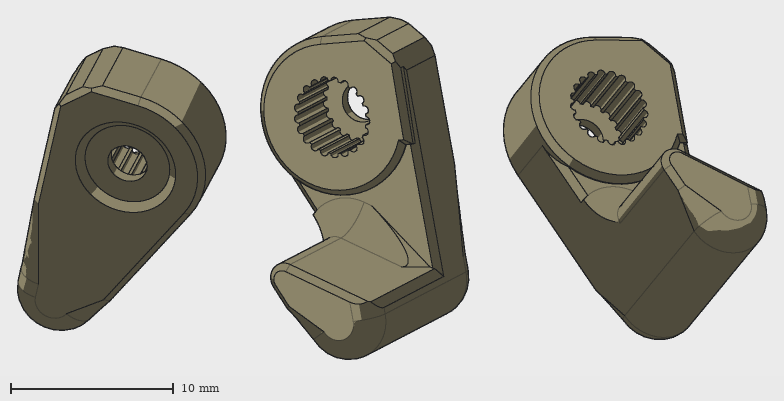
import cadquery as cq
import math


plate_back = 5.06
pad_back = 5.54
arm_back = 15.0
core_depth = plate_back / 2

head_radius = 5.0
toe_radius = 2.6
toe_x = -4.66
toe_z = -10.45

hole_diameter = 2.5
recess_outer_radius = 3.2
recess_floor_radius = 2.7
recess_depth = 0.45

socket_floor = 1.25
socket_radius = 2.3
groove_count = 21
groove_radius = 0.25

pad_left_angle = 170.0
plate_left_angle = 168.9
top_angle = 80.0
corner_angle = (pad_left_angle + top_angle) / 2
corner_distance = 5.79
corner_blunting = 0.7
toe_distance = math.hypot(toe_x, toe_z)
right_angle = math.degrees(
    math.atan2(toe_z, toe_x) + math.acos((head_radius - toe_radius) / toe_distance)
)

pad_step_height = -2.16

arm_slope_angle = 19.0
shoulder_radius = 1.0
shoulder_top_z = -7.12

edge_chamfer = 0.4
plate_back_chamfer = 0.43
toe_fillet = 1.5
left_fillet_length = 1.0
left_taper_length = 5.6
right_taper_length = 2.5
arm_left_fillet_length = 3.0

web_radius = 2.0
web_foot_x = -5.4
web_root_x = -6.4
web_peak_x = -4.6
web_peak_z = -7.34

margin = 0.5
clearance = 30.0


def direction(angle):
    return math.cos(math.radians(angle)), math.sin(math.radians(angle))


def meet(line_a, line_b):
    """Crossing point of two lines, each given as (normal angle, distance)."""
    ax, az = direction(line_a[0])
    bx, bz = direction(line_b[0])
    distance_a = line_a[1]
    distance_b = line_b[1]
    det = ax * bz - az * bx
    x = (distance_a * bz - az * distance_b) / det
    z = (ax * distance_b - distance_a * bx) / det
    return x, z


def polar(center, radius, angle):
    ux, uz = direction(angle)
    return center[0] + radius * ux, center[1] + radius * uz


def toward(start, end, distance):
    length = math.dist(start, end)
    return tuple(a + (b - a) * distance / length for a, b in zip(start, end))


def support(point, angle):
    """Line with the given normal angle through a point."""
    ux, uz = direction(angle)
    return angle, point[0] * ux + point[1] * uz


hole = (0.0, 0.0)
toe = (toe_x, toe_z)
toe_left = polar(toe, toe_radius, plate_left_angle)
toe_bottom = polar(toe, toe_radius, 270)
toe_right = polar(toe, toe_radius, right_angle)
head_right = polar(hole, head_radius, right_angle)
head_top = polar(hole, head_radius, top_angle)
head_side = polar(hole, head_radius, (top_angle + right_angle) / 2)

plate_left = support(toe_left, plate_left_angle)
pad_left = (pad_left_angle, head_radius)
top_side = (top_angle, head_radius)
corner_side = (corner_angle, corner_distance)

shoulder_normal = 90 + arm_slope_angle
shoulder_z = shoulder_top_z - shoulder_radius
shoulder_x = meet((right_angle, head_radius - shoulder_radius), (90, shoulder_z))[0]
shoulder = (shoulder_x, shoulder_z)
shoulder_start = polar(shoulder, shoulder_radius, shoulder_normal)
shoulder_end = polar(shoulder, shoulder_radius, right_angle)
arm_top = support(shoulder_start, shoulder_normal)


def prism(outline, start, end):
    return outline(cq.Workplane("XZ", origin=(0, start, 0))).close().extrude(start - end)


def corner_points(left_side, lower_left, blunt):
    """Points of the cut upper left corner, from the left side to the top side."""
    low = meet(left_side, corner_side)
    high = meet(corner_side, top_side)
    if not blunt:
        return [low, high]
    return [
        toward(low, lower_left, corner_blunting),
        toward(low, high, corner_blunting),
        toward(high, low, corner_blunting),
        toward(high, head_top, corner_blunting),
    ]


def plate_outline(blunt):
    def draw(sketch):
        sketch = sketch.moveTo(*toe_left)
        for point in corner_points(plate_left, toe_left, blunt):
            sketch = sketch.lineTo(*point)
        sketch = sketch.lineTo(*head_top).threePointArc(head_side, head_right)
        return sketch.lineTo(*toe_right).threePointArc(toe_bottom, toe_left)

    return draw


def pad_outline(sketch):
    step_line = (top_angle, pad_step_height)
    step_corner = meet(pad_left, step_line)
    step_depth = math.sqrt(head_radius**2 - pad_step_height**2)
    step_end = meet((pad_left_angle, step_depth), step_line)
    pad_bottom = polar(hole, head_radius, 270)

    sketch = sketch.moveTo(*step_end).lineTo(*step_corner)
    for point in corner_points(pad_left, step_corner, False):
        sketch = sketch.lineTo(*point)
    sketch = sketch.lineTo(*head_top).threePointArc(head_side, head_right)
    return sketch.threePointArc(pad_bottom, step_end)


def arm_outline(sketch):
    corner = meet(plate_left, arm_top)
    sketch = sketch.moveTo(*toe_left)
    sketch = sketch.lineTo(*toward(corner, toe_left, edge_chamfer))
    sketch = sketch.lineTo(*toward(corner, shoulder_start, edge_chamfer))
    sketch = sketch.lineTo(*shoulder_start)
    shoulder_side = polar(shoulder, shoulder_radius, (shoulder_normal + right_angle) / 2)
    sketch = sketch.threePointArc(shoulder_side, shoulder_end)
    return sketch.lineTo(*toe_right).threePointArc(toe_bottom, toe_left)


def make_plate():
    plate = prism(plate_outline(False), 0, plate_back)
    plate = plate.faces("<Y").chamfer(edge_chamfer).faces(">Y").chamfer(plate_back_chamfer)
    return plate.intersect(prism(plate_outline(True), 0, plate_back))


def make_pad():
    pad = prism(pad_outline, core_depth, pad_back).faces(">Y").chamfer(edge_chamfer)
    return pad.intersect(prism(plate_outline(True), core_depth, pad_back))


def make_arm():
    return prism(arm_outline, core_depth, arm_back).faces(">Y").chamfer(edge_chamfer)


def web_section():
    """Concave corner between arm top and plate, set where the arm top meets the shoulder.

    Local x runs along +Y from the plate, local y away from the arm, local z up the slope.
    """
    overlap = shoulder_radius / 2
    mid = web_radius * (1 - math.sqrt(0.5))
    slope_x, slope_z = direction(arm_slope_angle)
    origin = (shoulder_start[0], plate_back, shoulder_start[1])
    return (
        cq.Workplane(cq.Plane(origin, xDir=(0, 1, 0), normal=(slope_x, 0, slope_z)))
        .moveTo(-overlap, -overlap)
        .lineTo(web_radius, -overlap)
        .lineTo(web_radius, 0)
        .threePointArc((mid, mid), (0, web_radius))
        .lineTo(-overlap, web_radius)
        .close()
    )


def make_web():
    turn = shoulder_normal - right_angle
    arm_top_length = math.dist(shoulder_start, meet(plate_left, arm_top))
    straight = web_section().extrude(-arm_top_length)
    around = web_section().revolve(turn, (0, -shoulder_radius), (1, -shoulder_radius))
    web = straight.union(around).intersect(prism(plate_outline(False), core_depth, arm_back))

    def on_arm_top(x, y):
        return cq.Vector(x, y, meet(arm_top, (0, x))[1])

    root = on_arm_top(web_root_x, plate_back)
    to_foot = on_arm_top(web_foot_x, plate_back + web_radius) - root
    to_peak = cq.Vector(web_peak_x, plate_back, web_peak_z) - root
    end_plane = cq.Plane(root, xDir=to_foot, normal=to_peak.cross(to_foot))
    beyond_end = cq.Workplane(end_plane).rect(clearance, clearance).extrude(clearance)
    return web.cut(beyond_end)


def edge_section(point, angle, face_y, inward, size, rounded):
    """Cross-section of the tool that trims an edge of the outline.

    Local x runs outward along the outline normal, local y along Y into the part.
    """
    ux, uz = direction(angle)
    origin = (point[0], face_y, point[1])
    plane = cq.Plane(origin, xDir=(ux, 0, uz), normal=(-uz * inward, 0, ux * inward))
    section = cq.Workplane(plane).moveTo(margin, -margin).lineTo(-size, -margin).lineTo(-size, 0)
    if rounded:
        mid = size * (1 - math.sqrt(0.5))
        section = section.threePointArc((-mid, mid), (0, size))
    else:
        section = section.lineTo(0, size)
    return section.lineTo(margin, size).close()


def edge_loft(start, end, angle, face_y, inward, end_size, end_rounded):
    """Cutter that starts as the toe fillet and changes evenly to the end section."""
    first = edge_section(start, angle, face_y, inward, toe_fillet, True)
    last = edge_section(end, angle, face_y, inward, end_size, end_rounded)
    wires = [section.wires().val() for section in (first, last)]
    return cq.Workplane(cq.Solid.makeLoft(wires, True))


def round_toe(body, face_y, inward, left_length):
    """Fillet the toe on one end face; inward is +1 or -1 along Y."""
    left_end = toward(toe_left, meet(plate_left, corner_side), left_length)
    right_end = toward(toe_right, head_right, right_taper_length)
    turn = 360 + right_angle - plate_left_angle
    section = edge_section(toe_left, plate_left_angle, face_y, inward, toe_fillet, True)
    around = section.revolve(turn, (-toe_radius, 0), (-toe_radius, -inward))
    left = edge_loft(toe_left, left_end, plate_left_angle, face_y, inward, toe_fillet, True)
    right = edge_loft(toe_right, right_end, right_angle, face_y, inward, edge_chamfer, False)
    return body.cut(around).cut(left).cut(right)


def taper_front_left(body):
    """Blend the toe fillet into the chamfer along the front left edge."""
    upper_corner = meet(plate_left, corner_side)
    start = toward(toe_left, upper_corner, left_fillet_length)
    end = toward(toe_left, upper_corner, left_fillet_length + left_taper_length)
    return body.cut(edge_loft(start, end, plate_left_angle, 0, 1, edge_chamfer, False))


def cut_hole(body):
    hole_cutter = cq.Workplane("XZ").circle(hole_diameter / 2).extrude(-pad_back)
    recess = (
        cq.Workplane("XZ")
        .circle(recess_outer_radius)
        .workplane(offset=-recess_depth)
        .circle(recess_floor_radius)
        .loft(ruled=True)
    )
    return body.cut(hole_cutter).cut(recess)


def cut_socket(body):
    """Round socket with evenly spaced round grooves along its wall."""
    floor = cq.Workplane("XZ", origin=(0, socket_floor, 0))
    depth = pad_back - socket_floor
    half_pitch = 180 / groove_count
    socket = floor.circle(socket_radius).extrude(-depth)
    grooves = floor.polarArray(socket_radius, half_pitch, 360, groove_count)
    grooves = grooves.circle(groove_radius).extrude(-depth)
    return body.cut(socket).cut(grooves)


result = make_plate().union(make_pad()).union(make_arm()).union(make_web())
result = round_toe(result, 0, 1, left_fillet_length)
result = taper_front_left(result)
result = round_toe(result, arm_back, -1, arm_left_fillet_length)
result = cut_hole(result)
result = cut_socket(result)